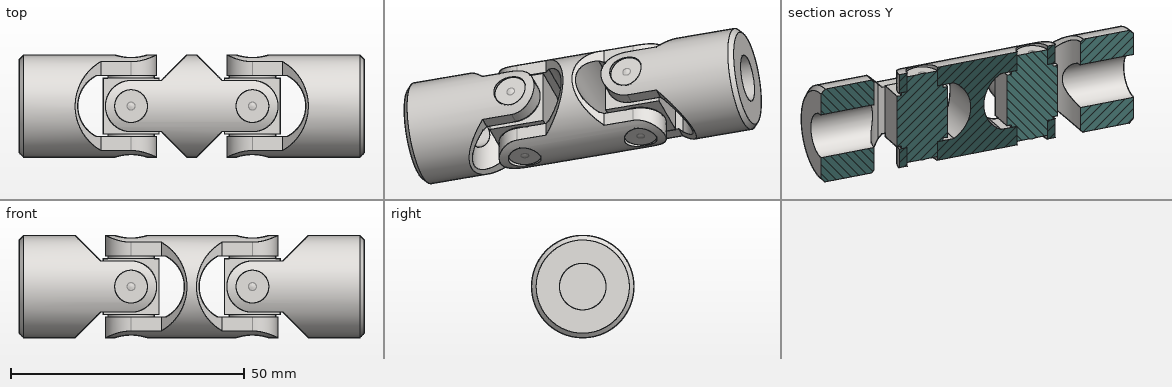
import cadquery as cq

overall_length = 74.0
body_diameter = 22.0
bore_diameter = 10.0
end_face_diameter = 20.0
middle_yoke_length = overall_length / 2

slot_width = 13.0
slot_end_radius = 7.3
slot_depth = 11.4
arm_width = body_diameter / 2
flank_start = 12.0

block_size = 12.0
boss_diameter = 10.0
pin_diameter = 7.0
pin_tip = 10.15
point_diameter = 1.7
point_height = 0.15

body_radius = body_diameter / 2
flank_run = (body_diameter - arm_width) / 2
pin_offset = (middle_yoke_length - arm_width) / 2
hub_length = overall_length / 2 - pin_offset
end_chamfer = (body_diameter - end_face_diameter) / 2


def fork_outline(back):
    """Arm profile in XZ: full width from x = -back, 45 degree flanks, rounded arm end."""
    half_arm = arm_width / 2
    flank_end = flank_start - flank_run
    return (
        cq.Workplane("XZ")
        .moveTo(-back, -body_radius)
        .lineTo(-flank_start, -body_radius)
        .lineTo(-flank_end, -half_arm)
        .lineTo(0, -half_arm)
        .threePointArc((half_arm, 0), (0, half_arm))
        .lineTo(-flank_end, half_arm)
        .lineTo(-flank_start, body_radius)
        .lineTo(-back, body_radius)
        .close()
        .extrude(body_radius, both=True)
    )


def fork_slot():
    """Clearance between the arms, running through along Z, with an arched bottom."""
    half_slot = slot_width / 2
    arc_center = slot_end_radius - slot_depth
    arc_start = arc_center - (slot_end_radius**2 - half_slot**2) ** 0.5
    return (
        cq.Workplane("XY")
        .moveTo(arm_width, -half_slot)
        .lineTo(arc_start, -half_slot)
        .threePointArc((-slot_depth, 0), (arc_start, half_slot))
        .lineTo(arm_width, half_slot)
        .close()
        .extrude(body_radius, both=True)
    )


def pin_holes():
    """Pin holes of both arms, as one cylinder along Y."""
    return cq.Workplane("XZ").circle(pin_diameter / 2).extrude(body_radius, both=True)


def round_bar(start, length):
    """Round bar along X that begins at x = start."""
    return cq.Workplane("YZ", origin=(start, 0, 0)).circle(body_radius).extrude(length)


def fork_waste(back):
    """Everything to remove from a round bar, from x = -back on, to leave a fork around the origin."""
    waste = round_bar(-back, back + arm_width).cut(fork_outline(back))
    return waste.union(fork_slot()).union(pin_holes())


def end_yoke():
    """Bored hub with a fork; the pin axis is Y through the origin."""
    bore = (
        cq.Workplane("YZ", origin=(-hub_length, 0, 0))
        .circle(bore_diameter / 2)
        .extrude(hub_length)
    )
    return (
        round_bar(-hub_length, hub_length + arm_width / 2)
        .faces("<X")
        .chamfer(end_chamfer)
        .cut(fork_waste(hub_length))
        .cut(bore)
    )


def middle_yoke():
    """Double fork centred on the origin, with both pin axes along Z."""
    body = round_bar(-middle_yoke_length / 2, middle_yoke_length)
    waste = fork_waste(pin_offset).rotate((0, 0, 0), (1, 0, 0), 90).translate((pin_offset, 0, 0))
    for turn in (0, 180):
        body = body.cut(waste.rotate((0, 0, 0), (0, 0, 1), turn))
    return body


def trunnion():
    """Boss and pin along +Z from the cross centre, with a shallow cone on the pin end."""
    boss = cq.Workplane("XY").circle(boss_diameter / 2).extrude(slot_width / 2)
    pin = cq.Workplane("XY").circle(pin_diameter / 2).extrude(pin_tip)
    point = cq.Workplane(
        cq.Solid.makeCone(point_diameter / 2, 0, point_height, pnt=cq.Vector(0, 0, pin_tip))
    )
    return boss.union(pin).union(point)


def cross():
    """Cubic block with a trunnion on each of its +-Y and +-Z faces."""
    body = cq.Workplane("XY").box(block_size, block_size, block_size)
    for turn in range(4):
        body = body.union(trunnion().rotate((0, 0, 0), (1, 0, 0), 90 * turn))
    return body


left_yoke = end_yoke().translate((-pin_offset, 0, 0))
right_yoke = left_yoke.rotate((0, 0, 0), (0, 0, 1), 180)
center_yoke = middle_yoke()
crosses = [cross().translate((x, 0, 0)) for x in (-pin_offset, pin_offset)]

result = cq.Compound.makeCompound(
    [
        left_yoke.val(),
        right_yoke.val(),
        center_yoke.val(),
        *[body.val() for body in crosses],
    ]
)